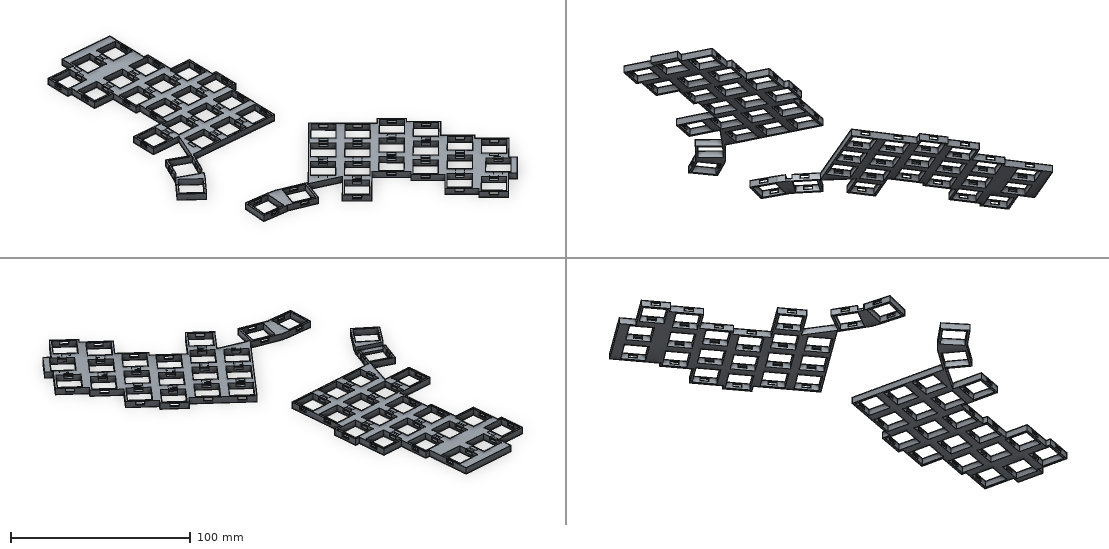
import cadquery as cq
import math

THICKNESS = 4.0
PITCH = 19.05
HOLE = 14.0
RIM = 1.25
CELL = HOLE + 2 * RIM
GAP = PITCH - CELL

CLIP_WIDTH = 5.0
CLIP_DEPTH = 2.0
CLIP_FLOOR = 1.5
CLIP_HEIGHT = 2.0

COLUMNS = [(0.0, 3), (0.0, 4), (5.0, 3), (2.0, 3), (-12.0, 3), (-15.0, 3)]
OUTER_COLUMN = len(COLUMNS) - 1

SPLAY = 24.0
INNER_KEY = (21.275, 26.33)

THUMB_NEAR = (-13.27, -63.82)
THUMB_NEAR_TURN = 24.0
THUMB_FAR = (-31.59, -75.0)
THUMB_FAR_TURN = 39.0
NEAR_TAIL = 2.4

WEB_DROP = 6.2
WEB_REACH = 2.0

BRIDGE_HEIGHT = 1.5


def slab(x_min, x_max, y_min, y_max, z_min=0.0, z_max=THICKNESS):
    """A box given by its limits."""
    size = (x_max - x_min, y_max - y_min, z_max - z_min)
    return cq.Workplane("XY").box(*size, centered=False).translate((x_min, y_min, z_min))


def prism(points):
    """A full-thickness plate with the given corners."""
    return cq.Workplane("XY").polyline(points).close().extrude(THICKNESS)


def place(body, centre, turn):
    """Turn a body about Z at its own origin and move the origin to the centre."""
    return body.rotate((0, 0, 0), (0, 0, 1), turn).translate((*centre, 0))


def place_point(point, centre, turn):
    """The same placement for one point."""
    angle = math.radians(turn)
    x = centre[0] + point[0] * math.cos(angle) - point[1] * math.sin(angle)
    y = centre[1] + point[0] * math.sin(angle) + point[1] * math.cos(angle)
    return x, y


def column_limits(column):
    """Bottom and top edge of one finger column."""
    top_key, keys = COLUMNS[column]
    return top_key - (keys - 1) * PITCH - CELL / 2, top_key + CELL / 2


def key_centres(wide_rows, wide_shift):
    """Centres of the finger keys; the wide keys sit further out."""
    centres = []
    for column, (top_key, keys) in enumerate(COLUMNS):
        for row in range(keys):
            wide = column == OUTER_COLUMN and row in wide_rows
            shift = wide_shift if wide else 0.0
            centres.append((column * PITCH + shift, top_key - row * PITCH))
    return centres


def finger_plate(wide_rows, wide_shift):
    """Columns, the strips that join them, and the wide keys of the outer column."""
    plate = None
    for column in range(len(COLUMNS)):
        x = column * PITCH
        bottom, top = column_limits(column)
        strip = slab(x - CELL / 2, x + CELL / 2, bottom, top)
        plate = strip if plate is None else plate.union(strip)
        if column > 0:
            inner_bottom, inner_top = column_limits(column - 1)
            joint_x = x - CELL / 2
            joint = slab(joint_x - GAP, joint_x, max(bottom, inner_bottom), min(top, inner_top))
            plate = plate.union(joint)
    outer_x = OUTER_COLUMN * PITCH
    wide_end = outer_x + CELL / 2 + 2 * wide_shift
    top_key = COLUMNS[OUTER_COLUMN][0]
    wide_top = top_key - min(wide_rows) * PITCH + CELL / 2
    wide_bottom = top_key - max(wide_rows) * PITCH - CELL / 2
    return plate.union(slab(outer_x, wide_end, wide_bottom, wide_top))


def thumb_plate():
    """Both thumb cells, the bridge between them and the web to the inner column."""
    half = CELL / 2
    near = place(slab(-half - NEAR_TAIL, half, -half, half), THUMB_NEAR, THUMB_NEAR_TURN)
    far = place(slab(-half, half, -half, half), THUMB_FAR, THUMB_FAR_TURN)
    bridge = prism([
        place_point((-half - NEAR_TAIL, -half), THUMB_NEAR, THUMB_NEAR_TURN),
        place_point((-half - NEAR_TAIL, half), THUMB_NEAR, THUMB_NEAR_TURN),
        place_point((half, half), THUMB_FAR, THUMB_FAR_TURN),
        place_point((half, -half), THUMB_FAR, THUMB_FAR_TURN),
    ])
    web_top = column_limits(0)[0]
    web = prism([
        (half + GAP, web_top),
        (-half, web_top),
        (-half, web_top - WEB_DROP),
        place_point((WEB_REACH, half), THUMB_NEAR, THUMB_NEAR_TURN),
        place_point((half, HOLE / 2), THUMB_NEAR, THUMB_NEAR_TURN),
    ])
    return near.union(far).union(bridge).union(web)


def switch_cutter():
    """Square opening with a latch window in its upper and lower wall."""
    half = HOLE / 2
    opening = slab(-half, half, -half, half)
    reach = half + CLIP_DEPTH
    clip_top = CLIP_FLOOR + CLIP_HEIGHT
    windows = slab(-CLIP_WIDTH / 2, CLIP_WIDTH / 2, -reach, reach, CLIP_FLOOR, clip_top)
    return opening.union(windows)


def bridge_recess():
    """Cut that lowers the tail of the near thumb cell."""
    return place(
        slab(-CELL / 2 - NEAR_TAIL, -HOLE / 2, -CELL / 2, CELL / 2, BRIDGE_HEIGHT, THICKNESS),
        THUMB_NEAR,
        THUMB_NEAR_TURN,
    )


def half_plate(wide_rows, wide_shift, lowered_bridge):
    """One half, built as the right-hand one."""
    plate = finger_plate(wide_rows, wide_shift).union(thumb_plate())
    for centre in key_centres(wide_rows, wide_shift):
        plate = plate.cut(switch_cutter().translate((*centre, 0)))
    for centre, turn in ((THUMB_NEAR, THUMB_NEAR_TURN), (THUMB_FAR, THUMB_FAR_TURN)):
        plate = plate.cut(place(switch_cutter(), centre, turn))
    if lowered_bridge:
        plate = plate.cut(bridge_recess())
    return place(plate, INNER_KEY, SPLAY)


right_half = half_plate(wide_rows=[1], wide_shift=PITCH / 8, lowered_bridge=False)
left_half = half_plate(wide_rows=[0, 1], wide_shift=PITCH / 4, lowered_bridge=True).mirror("YZ")

result = cq.Compound.makeCompound([left_half.val(), right_half.val()])